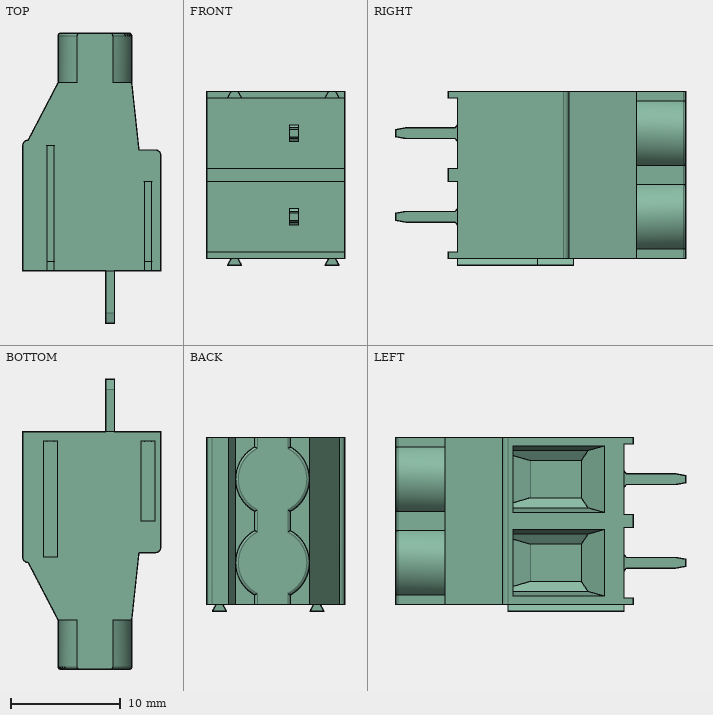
import cadquery as cq


POLE_COUNT = 2
PITCH = 7.62
WIDTH = 12.6
HEIGHT = POLE_COUNT * PITCH
POLE_CENTRES = [(pole + 0.5) * PITCH for pole in range(POLE_COUNT)]
OVERALL_LENGTH = 26.45
PIN_LENGTH = 4.8
TOP_Y = OVERALL_LENGTH - PIN_LENGTH
FLOOR_Y = 0.85
SHOULDER_Y = 17.17
LEFT_STEP_Y = 11.93
RIGHT_STEP_Y = 11.03
RIGHT_STEP_WIDTH = 1.98
STEP_RADIUS = 0.5

EDGE_RAIL = 0.6
MIDDLE_RAIL = 1.2

BOSS_RADIUS = 3.35
BOSS_X = 6.59
WEB_WIDTH = 3.25
TOP_ROUND = 0.25

ENTRY_LOW_Y = 2.62
ENTRY_HIGH_Y = 10.95
ENTRY_DEPTH = 2.1
ENTRY_MOUTH_HEIGHT = 6.08
ENTRY_CREASE_DEPTH = 1.5
ENTRY_CREASE_HEIGHT = 5.2
ENTRY_FLOOR_HEIGHT = 3.39
ENTRY_FLOOR_LOW_Y = 4.73
ENTRY_FLOOR_HIGH_Y = 9.4
ENTRY_STRAIGHT_DEPTH = 1.8

DOVETAILS = [(2.55, 11.43), (11.43, 8.15)]
DOVETAIL_NECK = 0.63
DOVETAIL_BASE = 1.3
DOVETAIL_HEIGHT = 0.6

PIN_X = 7.95
PIN_WIDTH = 0.82
PIN_HEIGHT = 1.0
PIN_TIP_HEIGHT = 0.65
PIN_TAPER = 0.95
PIN_ROOT_HEIGHT = 1.53
PIN_ROOT_LENGTH = 0.2


def slab(x, y, z, x_size, y_size, z_size):
    """Box given by its lowest corner and its sizes."""
    return cq.Workplane("XY").box(x_size, y_size, z_size, centered=False).translate((x, y, z))


def mirrored(half_outline):
    """Close the half outline with its mirror image, which has the second coordinate negated."""
    return half_outline + [(u, -v) for u, v in reversed(half_outline)]


def housing():
    return (
        cq.Workplane("XY")
        .moveTo(0, FLOOR_Y)
        .lineTo(WIDTH, FLOOR_Y)
        .lineTo(WIDTH, RIGHT_STEP_Y - STEP_RADIUS)
        .radiusArc((WIDTH - STEP_RADIUS, RIGHT_STEP_Y), -STEP_RADIUS)
        .lineTo(WIDTH - RIGHT_STEP_WIDTH, RIGHT_STEP_Y)
        .lineTo(BOSS_X + BOSS_RADIUS, SHOULDER_Y)
        .lineTo(BOSS_X - BOSS_RADIUS, SHOULDER_Y)
        .lineTo(STEP_RADIUS, LEFT_STEP_Y)
        .radiusArc((0, LEFT_STEP_Y - STEP_RADIUS), -STEP_RADIUS)
        .close()
        .extrude(HEIGHT)
    )


def rails():
    lower = slab(0, 0, 0, WIDTH, FLOOR_Y, EDGE_RAIL)
    upper = slab(0, 0, HEIGHT - EDGE_RAIL, WIDTH, FLOOR_Y, EDGE_RAIL)
    joined = lower.union(upper)
    for boundary in range(1, POLE_COUNT):
        rail_z = boundary * PITCH - MIDDLE_RAIL / 2
        joined = joined.union(slab(0, 0, rail_z, WIDTH, FLOOR_Y, MIDDLE_RAIL))
    return joined


def screw_tower():
    neck_length = TOP_Y - SHOULDER_Y
    web = slab(BOSS_X - WEB_WIDTH / 2, SHOULDER_Y, 0, WEB_WIDTH, neck_length, HEIGHT)
    tower = web.edges("|Z and >Y").fillet(TOP_ROUND)
    for centre_z in POLE_CENTRES:
        boss = (
            cq.Workplane("XZ", origin=(BOSS_X, SHOULDER_Y, centre_z))
            .circle(BOSS_RADIUS)
            .extrude(-neck_length)
            .faces(">Y").edges().fillet(TOP_ROUND)
        )
        tower = tower.union(boss)
    return tower


def wire_entry(centre_z):
    """Funnel with one slope at its lower Y end; its other walls turn inward more sharply near the floor."""
    side = mirrored([
        (0, ENTRY_MOUTH_HEIGHT / 2),
        (ENTRY_CREASE_DEPTH, ENTRY_CREASE_HEIGHT / 2),
        (ENTRY_DEPTH, ENTRY_FLOOR_HEIGHT / 2),
    ])
    plan = [
        (0, ENTRY_LOW_Y),
        (0, ENTRY_HIGH_Y),
        (ENTRY_STRAIGHT_DEPTH, ENTRY_HIGH_Y),
        (ENTRY_DEPTH, ENTRY_FLOOR_HIGH_Y),
        (ENTRY_DEPTH, ENTRY_FLOOR_LOW_Y),
    ]
    side_prism = cq.Workplane("XZ").polyline(side).close().extrude(-TOP_Y)
    plan_prism = cq.Workplane("XY").polyline(plan).close().extrude(PITCH / 2, both=True)
    return side_prism.intersect(plan_prism).translate((0, 0, centre_z))


def dovetail(centre_x, low_y, high_y, neck_z):
    """Dovetail bar hanging from its narrow neck at neck_z."""
    return (
        cq.Workplane("XZ", origin=(centre_x, low_y, neck_z))
        .moveTo(-DOVETAIL_NECK / 2, 0)
        .lineTo(DOVETAIL_NECK / 2, 0)
        .lineTo(DOVETAIL_BASE / 2, -DOVETAIL_HEIGHT)
        .lineTo(-DOVETAIL_BASE / 2, -DOVETAIL_HEIGHT)
        .close()
        .extrude(low_y - high_y)
    )


def pin(centre_z):
    """Flat pin with a flared root on the floor and a tapered tip."""
    outline = mirrored([
        (FLOOR_Y, PIN_ROOT_HEIGHT / 2),
        (FLOOR_Y - PIN_ROOT_LENGTH, PIN_HEIGHT / 2),
        (PIN_TAPER - PIN_LENGTH, PIN_HEIGHT / 2),
        (-PIN_LENGTH, PIN_TIP_HEIGHT / 2),
    ])
    return (
        cq.Workplane("YZ", origin=(PIN_X, 0, centre_z))
        .polyline(outline)
        .close()
        .extrude(PIN_WIDTH / 2, both=True)
    )


result = housing().union(rails()).union(screw_tower())

for pole_z in POLE_CENTRES:
    result = result.cut(wire_entry(pole_z)).union(pin(pole_z))

for joint_x, joint_end in DOVETAILS:
    result = result.union(dovetail(joint_x, FLOOR_Y, joint_end, 0))
    result = result.cut(dovetail(joint_x, 0, joint_end, HEIGHT))